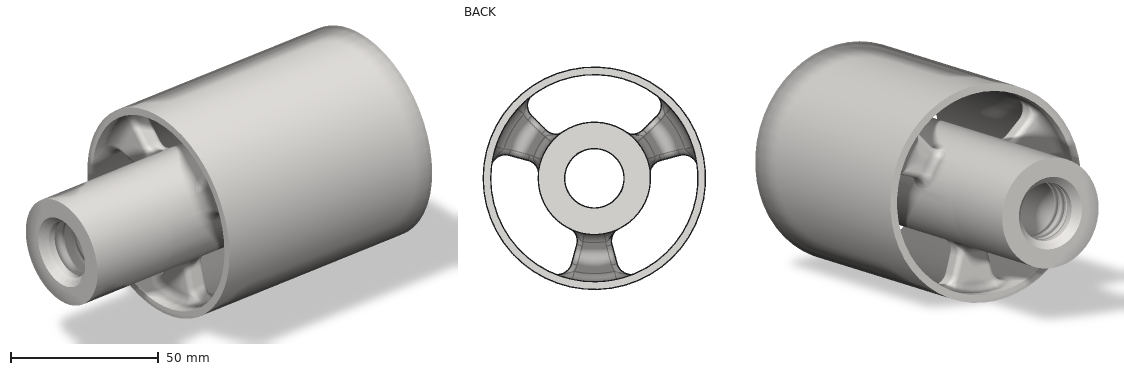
import cadquery as cq
import math

TOTAL_LENGTH = 131.5

TUBE_FRONT = 42.5
TUBE_DIAMETER = 75.2
TUBE_BORE = 70.0

HUB_DIAMETER = 38.0
NOSE_LENGTH = 32.9
BORE = 20.0
MOUTH_DIAMETER = 24.9
MOUTH_DEPTH = 2.8

SPOKE_COUNT = 3
SPOKE_FRONT = 50.0
SPOKE_THICKNESS = 7.5
SPOKE_ANGLE = 30
SPOKE_CORNER_RADIUS = 5.0
SPOKE_EDGE_ROUND = 2.0
SPOKE_ROOT_FILLET = 2.8
ROOT_SINK = 0.3
END_SINK = 2.1

THREAD_PITCH = 4.2
THREAD_FRONT = 5.1
THREAD_BACK = 14.0
THREAD_DIAMETER = MOUTH_DIAMETER
CREST_WIDTH = 1.0
GROOVE_FLOOR = 0.1
GROOVE_START = 0.5

CUT_OVERLAP = 0.4
MATCH = 0.01


def cylinder(diameter, front, back):
    """Round bar along Y from front to back."""
    return cq.Workplane("XZ", origin=(0, front, 0)).circle(diameter / 2).extrude(front - back)


def spoke_side():
    """Points of one side of a spoke that points to +Z, from hub to tube.

    A straight flared flank runs between two arcs of SPOKE_CORNER_RADIUS, which are tangent to it and
    to circles lying ROOT_SINK inside the hub and the tube wall.
    """
    slant = math.radians(SPOKE_ANGLE / 2)
    normal = (math.cos(slant), -math.sin(slant))
    along = (math.sin(slant), math.cos(slant))

    def flank_point(offset, distance):
        """Point at a distance along the flank, offset sideways from it."""
        return tuple(offset * n + distance * a for n, a in zip(normal, along))

    def corner(centre_radius, root_radius):
        """Arc as (point on the root circle, middle point, point on the flank)."""
        distance = math.sqrt(centre_radius**2 - SPOKE_CORNER_RADIUS**2)
        centre = flank_point(SPOKE_CORNER_RADIUS, distance)
        on_flank = flank_point(0, distance)
        on_root = tuple(c * root_radius / centre_radius for c in centre)
        to_chord = [(f + r) / 2 - c for f, r, c in zip(on_flank, on_root, centre)]
        stretch = SPOKE_CORNER_RADIUS / math.hypot(*to_chord)
        middle = tuple(c + stretch * t for c, t in zip(centre, to_chord))
        return on_root, middle, on_flank

    hub_root = HUB_DIAMETER / 2 - ROOT_SINK
    tube_root = TUBE_BORE / 2 + ROOT_SINK
    hub_arc = corner(hub_root + SPOKE_CORNER_RADIUS, hub_root)
    tube_arc = corner(tube_root - SPOKE_CORNER_RADIUS, tube_root)
    return hub_arc, tube_arc[::-1]


def scaled_to(point, radius):
    """Point moved radially to the given distance from the axis."""
    factor = radius / math.hypot(*point)
    return tuple(factor * c for c in point)


def mirrored(point):
    return (-point[0], point[1])


def spoke(index):
    """Spoke with rounded long edges; its ends are sunk into the hub and the tube."""
    hub_arc, tube_arc = spoke_side()
    inner_radius = HUB_DIAMETER / 2 - ROOT_SINK - END_SINK
    outer_radius = TUBE_BORE / 2 + ROOT_SINK + END_SINK
    inner_end = scaled_to(hub_arc[0], inner_radius)
    outer_end = scaled_to(tube_arc[2], outer_radius)
    blank = (
        cq.Workplane("XZ", origin=(0, SPOKE_FRONT, 0))
        .moveTo(*inner_end)
        .lineTo(*hub_arc[0])
        .threePointArc(hub_arc[1], hub_arc[2])
        .lineTo(*tube_arc[0])
        .threePointArc(tube_arc[1], tube_arc[2])
        .lineTo(*outer_end)
        .threePointArc((0, outer_radius), mirrored(outer_end))
        .lineTo(*mirrored(tube_arc[2]))
        .threePointArc(mirrored(tube_arc[1]), mirrored(tube_arc[0]))
        .lineTo(*mirrored(hub_arc[2]))
        .threePointArc(mirrored(hub_arc[1]), mirrored(hub_arc[0]))
        .lineTo(*mirrored(inner_end))
        .threePointArc((0, inner_radius), inner_end)
        .close()
        .extrude(-SPOKE_THICKNESS)
    )
    flank_middle = tuple((h + t) / 2 for h, t in zip(hub_arc[2], tube_arc[0]))
    side_middles = (hub_arc[1], flank_middle, tube_arc[1])

    def is_long(edge):
        middle = edge.positionAt(0.5)
        place = (abs(middle.x), middle.z)
        return any(math.dist(place, side_middle) < MATCH for side_middle in side_middles)

    long_edges = [edge for edge in blank.faces("<Y or >Y").edges().vals() if is_long(edge)]
    rounded = blank.newObject(long_edges).fillet(SPOKE_EDGE_ROUND)
    half_turn = 180
    return rounded.rotate((0, 0, 0), (0, 1, 0), half_turn + index * 360 / SPOKE_COUNT)


def is_spoke_root(edge):
    """True for an edge where a spoke meets the hub's outside or the tube's inside."""
    points = [edge.positionAt(place) for place in (0, 0.5, 1)]
    spoke_back = SPOKE_FRONT + SPOKE_THICKNESS
    beside_spoke = all(SPOKE_FRONT - MATCH < p.y < spoke_back + MATCH for p in points)
    return beside_spoke and any(
        all(abs(math.hypot(p.x, p.z) - diameter / 2) < MATCH for p in points)
        for diameter in (HUB_DIAMETER, TUBE_BORE)
    )


def make_wheel():
    """Tube carried on a hub by spokes."""
    tube = cylinder(TUBE_DIAMETER, TUBE_FRONT, TOTAL_LENGTH)
    tube = tube.cut(cylinder(TUBE_BORE, TUBE_FRONT, TOTAL_LENGTH))
    wheel = tube.union(cylinder(HUB_DIAMETER, NOSE_LENGTH, TOTAL_LENGTH))
    for index in range(SPOKE_COUNT):
        wheel = wheel.union(spoke(index))

    roots = [edge for edge in wheel.edges().vals() if is_spoke_root(edge)]
    wheel = wheel.newObject(roots).fillet(SPOKE_ROOT_FILLET)
    return wheel.cut(cylinder(BORE, NOSE_LENGTH, TOTAL_LENGTH))


def thread_groove():
    """Right-handed helical groove, swept along Z, turned to lie along Y and cut flat at both shoulders."""
    depth = (THREAD_DIAMETER - BORE) / 2
    mouth_half = (THREAD_PITCH - CREST_WIDTH) / 2
    floor_half = GROOVE_FLOOR / 2
    widening = (mouth_half - floor_half) / depth
    inner = BORE / 2 - CUT_OVERLAP
    inner_half = mouth_half + widening * CUT_OVERLAP
    outer = BORE / 2 + depth

    turns = math.ceil((THREAD_BACK - GROOVE_START) / THREAD_PITCH) + 1
    helix = cq.Wire.makeHelix(THREAD_PITCH, turns * THREAD_PITCH, BORE / 2)
    groove = (
        cq.Workplane("XZ")
        .polyline([(inner, -inner_half), (outer, -floor_half), (outer, floor_half), (inner, inner_half)])
        .close()
        .sweep(cq.Workplane(obj=helix), isFrenet=True)
        .rotate((0, 0, 0), (1, 0, 0), -90)
        .translate((0, GROOVE_START, 0))
    )
    return groove.intersect(cylinder(HUB_DIAMETER, THREAD_FRONT, THREAD_BACK))


def make_nose():
    """Threaded sleeve that butts against the front of the hub."""
    nose = cylinder(HUB_DIAMETER, 0, NOSE_LENGTH).cut(cylinder(BORE, 0, NOSE_LENGTH))
    mouth = (
        cq.Workplane("XY")
        .polyline([(0, 0), (MOUTH_DIAMETER / 2, 0), (BORE / 2, MOUTH_DEPTH), (0, MOUTH_DEPTH)])
        .close()
        .revolve(360, (0, 0, 0), (0, 1, 0))
    )
    return nose.cut(mouth).cut(thread_groove())


wheel = make_wheel()
nose = make_nose()
result = cq.Compound.makeCompound([wheel.val(), nose.val()])